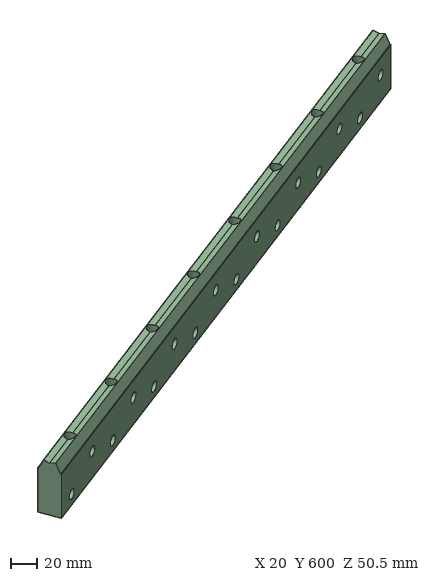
import cadquery as cq

length = 600.0
width = 20.0
height = 50.5

bevel_height = 9.0
ledge_width = 0.5
crest_width = 10.0

groove_width = 9.5
groove_depth = 1.5

hole_diameter = 9.0
holes_per_row = 8
pitch = length / holes_per_row
row_shift = pitch / 4
lower_row_height = 10.0
upper_row_height = 25.0


def row_positions(shift):
    """Y positions of one row, moved along the bar from its centred place."""
    first = -pitch * (holes_per_row - 1) / 2 + shift
    return [first + i * pitch for i in range(holes_per_row)]


def bar():
    """Bevelled bar with the groove along its crest, extruded along Y."""
    half_width = width / 2
    half_crest = crest_width / 2
    half_groove = groove_width / 2
    shoulder = height - bevel_height
    return (
        cq.Workplane("XZ", origin=(0, length / 2, 0))
        .moveTo(-half_width, 0)
        .lineTo(half_width, 0)
        .lineTo(half_width, shoulder)
        .lineTo(half_width - ledge_width, shoulder)
        .lineTo(half_crest, height)
        .lineTo(half_groove, height)
        .lineTo(0, height - groove_depth)
        .lineTo(-half_groove, height)
        .lineTo(-half_crest, height)
        .lineTo(-half_width + ledge_width, shoulder)
        .lineTo(-half_width, shoulder)
        .close()
        .extrude(length)
    )


def cross_holes(row_height, shift):
    """Row of holes running through the bar along X."""
    return (
        cq.Workplane("YZ", origin=(-width / 2, 0, 0))
        .pushPoints([(y, row_height) for y in row_positions(shift)])
        .circle(hole_diameter / 2)
        .extrude(width)
    )


def vertical_holes():
    """Row of holes running through the bar from the groove to the base."""
    return (
        cq.Workplane("XY")
        .pushPoints([(0, y) for y in row_positions(0)])
        .circle(hole_diameter / 2)
        .extrude(height)
    )


result = (
    bar()
    .cut(cross_holes(upper_row_height, row_shift))
    .cut(cross_holes(lower_row_height, -row_shift))
    .cut(vertical_holes())
)